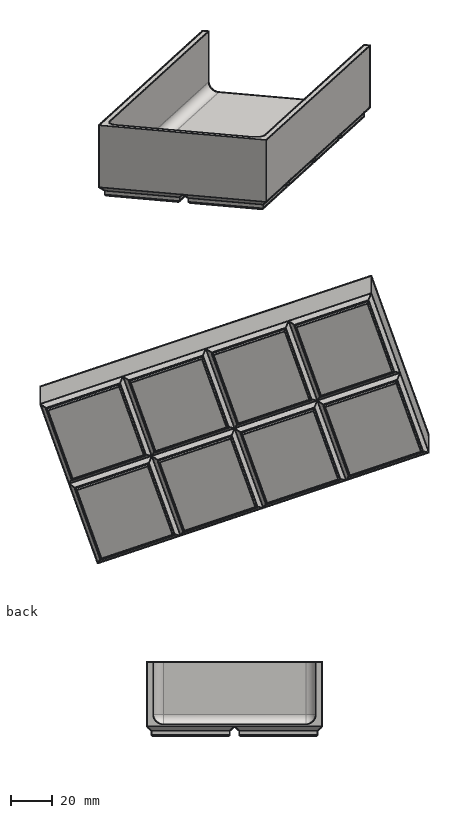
import cadquery as cq

columns = 2
rows = 4
pitch = 42.0
height = 35.8
wall = 3.0
floor = 1.0
cavity_radius = 4.9

foot_chamfer = 0.8
foot_straight = 1.8
foot_taper = 2.2

width = columns * pitch
length = rows * pitch
foot_height = foot_chamfer + foot_straight + foot_taper
foot_side = pitch - 2 * foot_taper
cavity_floor = foot_height + floor
cavity_depth = height - cavity_floor


def square_frustum(side, rise, growth, base):
    """Square block from z = base whose sides move out by growth over its rise."""
    return (
        cq.Workplane("XY").workplane(offset=base).rect(side, side)
        .workplane(offset=rise).rect(side + 2 * growth, side + 2 * growth)
        .loft(ruled=True)
    )


def make_foot():
    """One stepped foot, centred on the Z axis, standing on z = 0."""
    base = square_frustum(foot_side - 2 * foot_chamfer, foot_chamfer, foot_chamfer, 0)
    band = square_frustum(foot_side, foot_straight, 0, foot_chamfer)
    flare = square_frustum(foot_side, foot_taper, foot_taper, foot_chamfer + foot_straight)
    return base.union(band).union(flare)


def make_cavity():
    """Trough open at the top and at the +Y end, with rounded inner edges."""
    overrun = 2 * cavity_radius
    cavity_length = length - wall + overrun
    return (
        cq.Workplane("XY")
        .box(width - 2 * wall, cavity_length, cavity_depth, centered=(True, False, False))
        .edges("|Z").fillet(cavity_radius)
        .faces("<Z").edges().fillet(cavity_radius)
        .translate((0, wall - length / 2, cavity_floor))
    )


body = (
    cq.Workplane("XY")
    .box(width, length, height - foot_height, centered=(True, True, False))
    .translate((0, 0, foot_height))
)

foot = make_foot()
for column in range(columns):
    for row in range(rows):
        x = (column + 0.5) * pitch - width / 2
        y = (row + 0.5) * pitch - length / 2
        body = body.union(foot.translate((x, y, 0)))

result = body.cut(make_cavity())